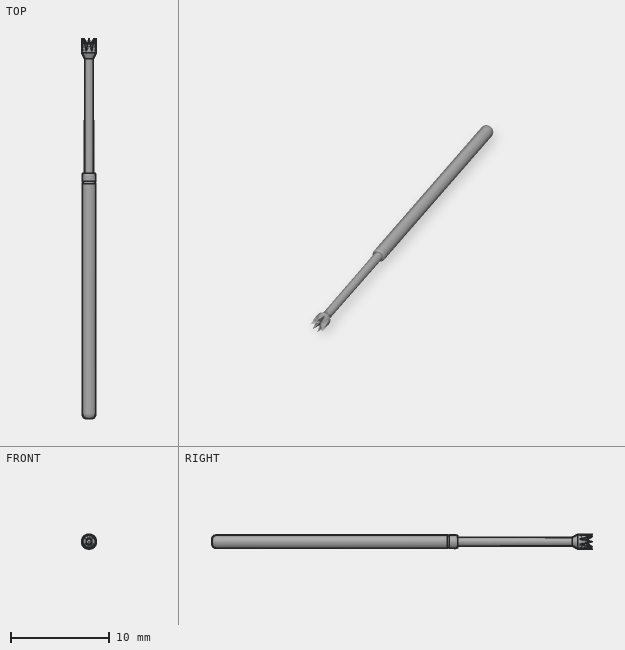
import cadquery as cq
import math

overall_length = 38.7

barrel_radius = 0.69
barrel_length = 25.0
tail_length = 0.5
tail_flat_radius = 0.30
groove_distance = 0.82
groove_width = 0.24
groove_depth = 0.07
lip_length = 0.35
lip_inset = 0.08

shaft_head_radius = 0.445
shaft_mouth_radius = 0.475
head_radius = 0.75
head_rim_length = 1.46
head_length = 2.04

tooth_count = 8
notch_outer_depth = 1.2
notch_inner_depth = 0.78

arc_middle = math.sqrt(0.5)


def revolve_about_y(profile):
    """Turn a closed profile, drawn as (radius, Y) in the ZY plane, about the Y axis."""
    return profile.close().revolve(360, (0, 0, 0), (0, 1, 0))


def make_barrel():
    """Barrel with a rounded tail, a crimp groove and a rounded lip."""
    groove_top = barrel_length - groove_distance
    groove_bottom = groove_top - groove_width
    groove_floor = (barrel_radius - groove_depth, (groove_top + groove_bottom) / 2)
    lip_start = barrel_length - lip_length
    lip_radius = barrel_radius - lip_inset
    lip_middle = (lip_radius + lip_inset * arc_middle, lip_start + lip_length * arc_middle)
    profile = (
        cq.Workplane("ZY")
        .moveTo(barrel_radius, groove_bottom)
        .lineTo(barrel_radius, tail_length)
        .tangentArcPoint((tail_flat_radius, 0), relative=False)
        .lineTo(0, 0)
        .lineTo(0, barrel_length)
        .lineTo(lip_radius, barrel_length)
        .threePointArc(lip_middle, (barrel_radius, lip_start))
        .lineTo(barrel_radius, groove_top)
        .threePointArc(groove_floor, (barrel_radius, groove_bottom))
    )
    return revolve_about_y(profile)


def make_plunger():
    """Plunger shaft with its head, before the teeth are cut."""
    profile = (
        cq.Workplane("ZY")
        .moveTo(0, barrel_length - lip_length)
        .lineTo(shaft_mouth_radius, barrel_length - lip_length)
        .lineTo(shaft_mouth_radius, barrel_length)
        .lineTo(shaft_head_radius, overall_length - head_length)
        .lineTo(head_radius, overall_length - head_rim_length)
        .lineTo(head_radius, overall_length)
        .lineTo(0, overall_length)
    )
    return revolve_about_y(profile)


def make_notch():
    """Prism with a V section that runs out from the axis along +Z and deepens as it goes."""
    half_pitch = math.pi / tooth_count
    rim_half_width = head_radius * math.sin(half_pitch)
    rim_distance = head_radius * math.cos(half_pitch)
    section_height = 2 * notch_outer_depth
    section_half_width = rim_half_width * section_height / notch_outer_depth
    section_bottom = overall_length - notch_inner_depth
    section_top = section_bottom + section_height
    section = cq.Wire.makePolygon(
        [
            cq.Vector(0, section_bottom, 0),
            cq.Vector(section_half_width, section_top, 0),
            cq.Vector(-section_half_width, section_top, 0),
        ],
        close=True,
    )
    slope = (notch_outer_depth - notch_inner_depth) / rim_distance
    run = cq.Vector(0, -slope * head_radius, head_radius)
    return cq.Workplane(obj=cq.Solid.extrudeLinear(section, [], run))


def cut_teeth(plunger):
    """Cut one notch between each pair of neighbouring teeth."""
    notch = make_notch()
    tooth_pitch = 360 / tooth_count
    for index in range(tooth_count):
        angle = (index + 0.5) * tooth_pitch
        plunger = plunger.cut(notch.rotate((0, 0, 0), (0, 1, 0), angle))
    return plunger


result = make_barrel().union(cut_teeth(make_plunger()))